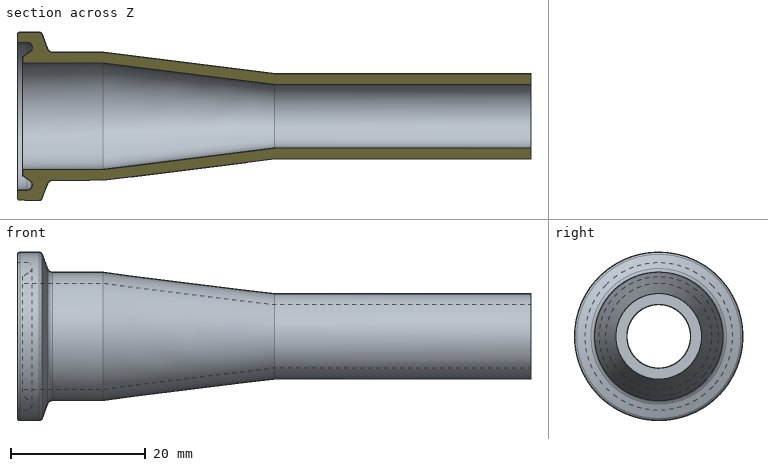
import cadquery as cq
import math

total_length = 76.2
neck_start = 12.7
neck_end = 38.1

flange_diameter = 24.99
body_diameter = 19.05
body_bore = 15.75
tube_diameter = 12.7
tube_bore = 9.4

flange_back = 3.6
back_angle = 20.0
rim_fillet = 0.5
root_fillet = 0.8
face_fillet = 0.4

groove_outer_diameter = 21.89
groove_wall_depth = 1.45
groove_wall_angle = 35.0
hub_diameter = 17.7
hub_recess = 0.8

body_radius = body_diameter / 2
flange_radius = flange_diameter / 2
back_run = (flange_radius - body_radius) * math.tan(math.radians(back_angle))
flange_root = flange_back + back_run


def revolve_about_x(profile):
    """Turn an (x, radius) profile once around the X axis."""
    return profile.close().revolve(360, (0, 0, 0), (1, 0, 0))


def fillet_circle(solid, x, radius):
    """Round the circular edge lying at the given X position."""
    margin = 0.01
    reach = flange_diameter
    selector = cq.selectors.BoxSelector((x - margin, -reach, -reach), (x + margin, reach, reach))
    return solid.edges(selector).fillet(radius)


def make_outside():
    """Flange, body, tapered neck and tube as one turned solid."""
    outside = revolve_about_x(
        cq.Workplane("XY")
        .lineTo(0, flange_radius)
        .lineTo(flange_back, flange_radius)
        .lineTo(flange_root, body_radius)
        .lineTo(neck_start, body_radius)
        .lineTo(neck_end, tube_diameter / 2)
        .lineTo(total_length, tube_diameter / 2)
        .lineTo(total_length, 0)
    )
    outside = fillet_circle(outside, 0, face_fillet)
    outside = fillet_circle(outside, flange_back, rim_fillet)
    return fillet_circle(outside, flange_root, root_fillet)


def make_bore():
    """Through passage: wide in the body, tapered in the neck, narrow in the tube."""
    return revolve_about_x(
        cq.Workplane("XY")
        .lineTo(0, body_bore / 2)
        .lineTo(neck_start, body_bore / 2)
        .lineTo(neck_end, tube_bore / 2)
        .lineTo(total_length, tube_bore / 2)
        .lineTo(total_length, 0)
    )


def make_groove():
    """Stepped ring recess: straight outer wall, round bottom and sloped inner wall up to the hub face."""
    angle = math.radians(groove_wall_angle)
    outer = groove_outer_diameter / 2
    inner = hub_diameter / 2
    slope_offset = (groove_wall_depth - hub_recess) * math.tan(angle)
    radius = (outer - inner - slope_offset) / (1 + 1 / math.cos(angle))
    centre = outer - radius
    slope_end = (groove_wall_depth + radius * math.sin(angle), centre - radius * math.cos(angle))
    return revolve_about_x(
        cq.Workplane("XY")
        .lineTo(hub_recess, 0)
        .lineTo(hub_recess, inner)
        .lineTo(*slope_end)
        .threePointArc((groove_wall_depth + radius, centre), (groove_wall_depth, outer))
        .lineTo(0, outer)
    )


result = make_outside().cut(make_bore()).cut(make_groove())